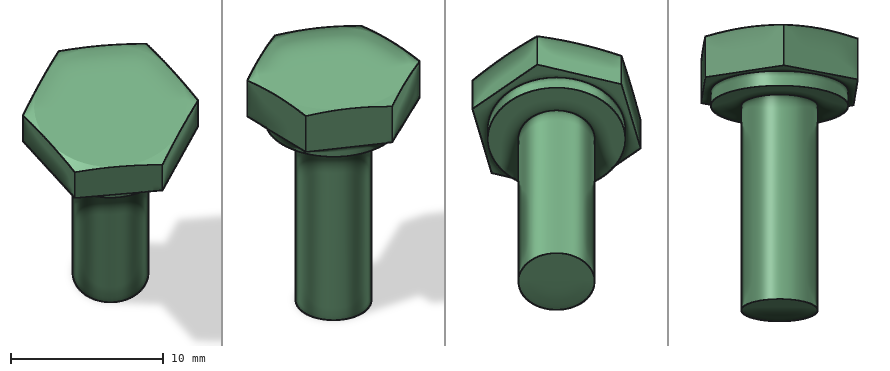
import cadquery as cq
import math

across_flats = 10.0
head_sides = 6
head_height = 3.0
chamfer_angle = 15.0
shank_diameter = 5.0

washer_diameter = 9.0
washer_thickness = 1.0

overall_length = 18.0
shank_length = overall_length - head_height

half_side_angle = 180 / head_sides
across_corners = across_flats / math.cos(math.radians(half_side_angle))


def make_head_envelope():
    """Turned blank whose conical top trims the corners of the hexagon."""
    flat_radius = across_flats / 2
    corner_radius = across_corners / 2
    chamfer_drop = (corner_radius - flat_radius) * math.tan(math.radians(chamfer_angle))
    return (
        cq.Workplane("XZ")
        .moveTo(0, 0)
        .lineTo(corner_radius, 0)
        .lineTo(corner_radius, head_height - chamfer_drop)
        .lineTo(flat_radius, head_height)
        .lineTo(0, head_height)
        .close()
        .revolve(360, (0, 0, 0), (0, 1, 0))
    )


def make_bolt():
    """Chamfered hexagonal head with its flats facing X, and the shank below."""
    hexagon = (
        cq.Workplane("XY")
        .polygon(head_sides, across_corners)
        .extrude(head_height)
        .rotate((0, 0, 0), (0, 0, 1), half_side_angle)
    )
    head = hexagon.intersect(make_head_envelope())
    shank = cq.Workplane("XY").circle(shank_diameter / 2).extrude(-shank_length)
    return head.union(shank)


def make_washer():
    """Flat ring that fits the shank and touches the underside of the head."""
    return (
        cq.Workplane("XY")
        .circle(washer_diameter / 2)
        .circle(shank_diameter / 2)
        .extrude(-washer_thickness)
    )


bolt = make_bolt()
washer = make_washer()

result = cq.Compound.makeCompound([bolt.val(), washer.val()])